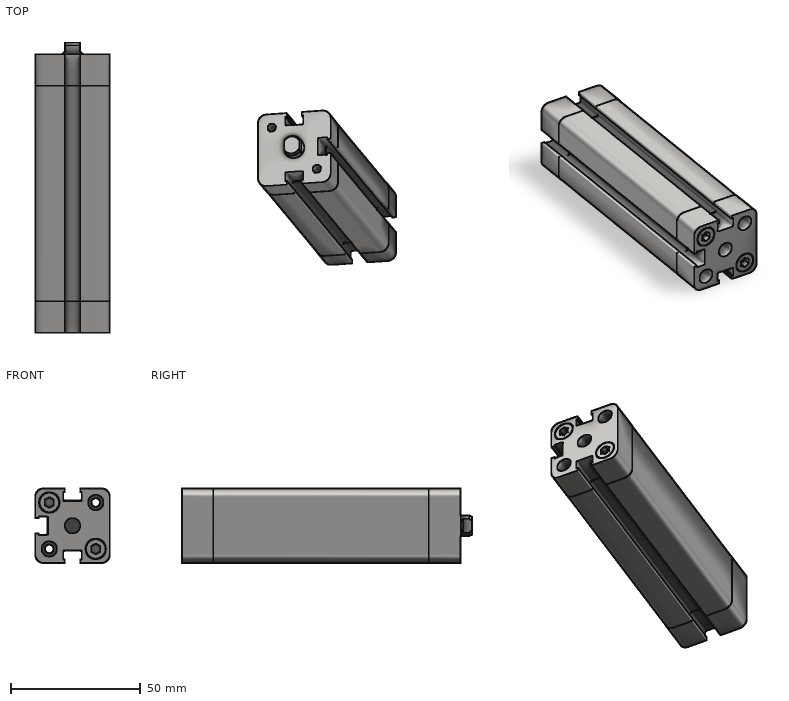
import cadquery as cq

OVERALL_LENGTH = 112.5
SIDE = 29.0
ROD_LENGTH = 4.5
CAP_LENGTH = 12.3
TUBE_SIDE = 28.9
CORNER_RADIUS = 3.4
BODY_LENGTH = OVERALL_LENGTH - ROD_LENGTH
TUBE_LENGTH = BODY_LENGTH - 2 * CAP_LENGTH

SLOT_OPENING = 5.8
SLOT_WIDTH = 7.1
LIP_THICKNESS = 1.5
TUBE_SLOT_DEPTH = 4.7
CAP_SLOT_DEPTH = 5.1
SLOT_FLOOR_RADIUS = 0.5
LIP_EDGE_RADIUS = 0.3
SLOT_ANGLES = (0, 90, 180)

CORNER_OFFSET = 9.0
SCREW_BORE_DIAMETER = 8.0
SCREW_HEAD_DIAMETER = 7.5
SCREW_HEAD_HEIGHT = 4.0
HEX_CORNER_DIAMETER = 4.2
HEX_DEPTH = 2.9
MOUNT_HOLE_DIAMETER = 6.0
MOUNT_HOLE_DEPTH = 10.1
THROUGH_HOLE_DIAMETER = 3.3

ROD_DIAMETER = 8.0
FLAT_WIDTH = 6.0
ROD_CHAMFER_LENGTH = 1.1
ROD_CHAMFER_DEPTH = 0.6

SCREW_CENTERS = [(-CORNER_OFFSET, CORNER_OFFSET), (CORNER_OFFSET, -CORNER_OFFSET)]
THROUGH_CENTERS = [(CORNER_OFFSET, CORNER_OFFSET), (-CORNER_OFFSET, -CORNER_OFFSET)]


def section(y):
    """Sketch plane facing -Y at the given Y: local x is X and local y is Z."""
    return cq.Workplane("XZ", origin=(0, y, 0))


def cylinder(centers, diameter, start, length):
    """Round bars running from y = start toward +Y."""
    return section(start).pushPoints(centers).circle(diameter / 2).extrude(-length)


def slot_cutter(start, length, side, depth):
    """T-slot in the top side: a round-edged mouth over a wider channel."""
    face = side / 2
    channel_top = SIDE / 2 - LIP_THICKNESS
    floor = SIDE / 2 - depth
    mouth = SLOT_OPENING / 2
    channel = (
        section(start)
        .center(0, (channel_top + floor) / 2)
        .rect(SLOT_WIDTH, channel_top - floor)
        .extrude(-length)
        .faces("<Z")
        .edges("|Y")
        .fillet(SLOT_FLOOR_RADIUS)
    )
    opening = (
        section(start)
        .moveTo(-mouth, channel_top)
        .lineTo(-mouth, face - LIP_EDGE_RADIUS)
        .radiusArc((-mouth - LIP_EDGE_RADIUS, face), -LIP_EDGE_RADIUS)
        .lineTo(mouth + LIP_EDGE_RADIUS, face)
        .radiusArc((mouth, face - LIP_EDGE_RADIUS), -LIP_EDGE_RADIUS)
        .lineTo(mouth, channel_top)
        .close()
        .extrude(-length)
    )
    return channel.union(opening)


def profile(start, length, side, slot_depth):
    """Rounded square bar with the three T-slots."""
    bar = section(start).rect(side, side).extrude(-length).edges("|Y").fillet(CORNER_RADIUS)
    cutter = slot_cutter(start, length, side, slot_depth)
    for angle in SLOT_ANGLES:
        bar = bar.cut(cutter.rotate((0, 0, 0), (0, 1, 0), -angle))
    return bar


def rod_stub():
    """Round stub, chamfered at the tip, with flats that run out at 45 degrees."""
    radius = ROD_DIAMETER / 2
    half_flat = FLAT_WIDTH / 2
    run_out = radius - half_flat
    tip_radius = radius - ROD_CHAMFER_DEPTH
    chamfer_start = OVERALL_LENGTH - ROD_CHAMFER_LENGTH
    round_stub = (
        cq.Workplane("XY")
        .polyline([
            (0, BODY_LENGTH),
            (radius, BODY_LENGTH),
            (radius, chamfer_start),
            (tip_radius, OVERALL_LENGTH),
            (0, OVERALL_LENGTH),
        ])
        .close()
        .revolve(360, (0, 0, 0), (0, 1, 0))
    )
    flat_envelope = (
        cq.Workplane("XY")
        .polyline([
            (-radius, BODY_LENGTH),
            (radius, BODY_LENGTH),
            (half_flat, BODY_LENGTH + run_out),
            (half_flat, OVERALL_LENGTH),
            (-half_flat, OVERALL_LENGTH),
            (-half_flat, BODY_LENGTH + run_out),
        ])
        .close()
        .extrude(radius, both=True)
    )
    return round_stub.intersect(flat_envelope)


tube_start = CAP_LENGTH
rear_cap_start = tube_start + TUBE_LENGTH
front_cap = profile(0, CAP_LENGTH, SIDE, CAP_SLOT_DEPTH)
tube = profile(tube_start, TUBE_LENGTH, TUBE_SIDE, TUBE_SLOT_DEPTH)
rear_cap = profile(rear_cap_start, CAP_LENGTH, SIDE, CAP_SLOT_DEPTH)
body = front_cap.union(tube).union(rear_cap).union(rod_stub())

mount_centers = [(0, 0)] + THROUGH_CENTERS
body = body.cut(cylinder(mount_centers, MOUNT_HOLE_DIAMETER, 0, MOUNT_HOLE_DEPTH))
body = body.cut(cylinder(THROUGH_CENTERS, THROUGH_HOLE_DIAMETER, 0, BODY_LENGTH))

ring_gap = cylinder(SCREW_CENTERS, SCREW_BORE_DIAMETER, 0, SCREW_HEAD_HEIGHT).cut(
    cylinder(SCREW_CENTERS, SCREW_HEAD_DIAMETER, 0, SCREW_HEAD_HEIGHT)
)
body = body.cut(ring_gap)
for x, z in SCREW_CENTERS:
    hexagon = section(0).polygon(6, HEX_CORNER_DIAMETER).extrude(-HEX_DEPTH)
    hexagon = hexagon.rotate((0, 0, 0), (0, 1, 0), 90)
    body = body.cut(hexagon.translate((x, 0, z)))

result = body